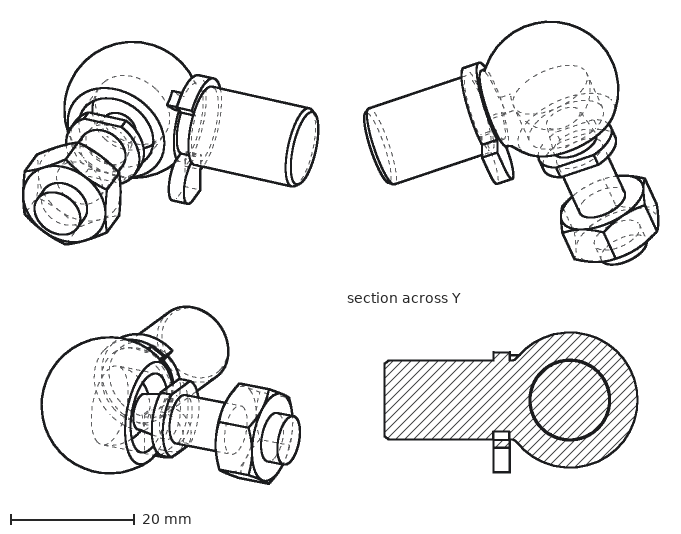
import cadquery as cq
import math


socket_radius = 11.05
socket_face_y = -7.15
ball_radius = 6.5
shank_radius = 6.5
shank_end_x = 30.0
shank_chamfer_length = 0.7
shank_chamfer_depth = 0.5
neck_fillet = 1.2

groove_start_x = 9.8
groove_end_x = 12.35
groove_radius = 5.2

clip_start_x = 9.7
clip_thickness = groove_end_x - clip_start_x
clip_radius = 7.84
clip_mouth_angle = 130.0
tail_end_radius = 3.9
tail_centre_y = -4.57
tail_centre_z = -7.8
tail_edge_y = -1.28
lug_angle = 119.3
lug_width = 2.66
lug_top = 7.57
lug_length = 1.77

neck_small_radius = 2.93
neck_large_radius = 3.75
collar_start_y = -10.95
collar_thickness = 2.0
collar_end_y = collar_start_y - collar_thickness
collar_radius = 6.4
collar_flats = 11.0
stud_radius = 4.0
stud_end_y = -32.99
stud_dome_height = 0.4

nut_flats = 14.36
nut_height = 6.65
nut_start_y = -22.97
nut_chamfer_angle = 30.0


def make_socket():
    """Sphere blended into the cylindrical shank, revolved about X."""
    fillet_centre_r = shank_radius + neck_fillet
    fillet_end_x = math.sqrt((socket_radius + neck_fillet) ** 2 - fillet_centre_r**2)
    tangency = socket_radius / (socket_radius + neck_fillet)
    fillet_start = (fillet_end_x * tangency, fillet_centre_r * tangency)
    fillet_mid_angle = math.radians(270) - math.atan2(fillet_end_x, fillet_centre_r) / 2
    fillet_mid = (
        fillet_end_x + neck_fillet * math.cos(fillet_mid_angle),
        fillet_centre_r + neck_fillet * math.sin(fillet_mid_angle),
    )
    profile = (
        cq.Workplane("XY")
        .moveTo(-socket_radius, 0)
        .threePointArc((0, socket_radius), fillet_start)
        .threePointArc(fillet_mid, (fillet_end_x, shank_radius))
        .lineTo(groove_start_x, shank_radius)
        .lineTo(groove_start_x, groove_radius)
        .lineTo(groove_end_x, groove_radius)
        .lineTo(groove_end_x, shank_radius)
        .lineTo(shank_end_x - shank_chamfer_length, shank_radius)
        .lineTo(shank_end_x, shank_radius - shank_chamfer_depth)
        .lineTo(shank_end_x, 0)
        .close()
    )
    socket = profile.revolve(360, (0, 0, 0), (1, 0, 0))
    mouth_plane = cq.Workplane("XZ", origin=(0, socket_face_y, 0))
    mouth_trim = mouth_plane.circle(socket_radius).extrude(socket_radius)
    return socket.cut(mouth_trim)


def make_ball_gap():
    """Clearance between the cylindrical mouth and the ball, which seats at its equator."""
    diagonal = ball_radius * math.sqrt(0.5)
    profile = (
        cq.Workplane("XY")
        .moveTo(ball_radius, 0)
        .threePointArc((diagonal, -diagonal), (0, -ball_radius))
        .lineTo(0, socket_face_y)
        .lineTo(ball_radius, socket_face_y)
        .close()
    )
    return profile.revolve(360, (0, 0, 0), (0, 1, 0))


def make_stud():
    """Tapered neck, plain rod with domed tip and collar with two flats."""
    neck_start_y = -math.sqrt(ball_radius**2 - neck_small_radius**2)
    dome_edge_y = stud_end_y + stud_dome_height
    dome_radius = (stud_radius**2 + stud_dome_height**2) / (2 * stud_dome_height)
    dome_mid_r = stud_radius / 2
    dome_mid_y = stud_end_y + dome_radius - math.sqrt(dome_radius**2 - dome_mid_r**2)
    rod = (
        cq.Workplane("XY")
        .lineTo(neck_small_radius, 0)
        .lineTo(neck_small_radius, neck_start_y)
        .lineTo(neck_large_radius, collar_start_y)
        .lineTo(stud_radius, collar_end_y)
        .lineTo(stud_radius, dome_edge_y)
        .threePointArc((dome_mid_r, dome_mid_y), (0, stud_end_y))
        .close()
        .revolve(360, (0, 0, 0), (0, 1, 0))
    )
    collar_plane = cq.Workplane("XZ", origin=(0, collar_start_y, 0))
    collar = collar_plane.circle(collar_radius).extrude(collar_thickness)
    flats = collar_plane.rect(2 * collar_radius, collar_flats).extrude(collar_thickness)
    return rod.union(collar.intersect(flats))


def make_nut():
    """Hexagon nut with corners across Z, chamfered at both faces."""
    corner_radius = nut_flats / math.sqrt(3)
    face_radius = nut_flats / 2
    chamfer_height = (corner_radius - face_radius) * math.tan(math.radians(nut_chamfer_angle))
    nut_end_y = nut_start_y - nut_height
    hexagon = (
        cq.Workplane("XZ", origin=(0, nut_start_y, 0))
        .transformed(rotate=(0, 0, 90))
        .polygon(6, 2 * corner_radius)
        .extrude(nut_height)
    )
    chamfer_envelope = (
        cq.Workplane("XY")
        .moveTo(0, nut_start_y)
        .lineTo(face_radius, nut_start_y)
        .lineTo(corner_radius, nut_start_y - chamfer_height)
        .lineTo(corner_radius, nut_end_y + chamfer_height)
        .lineTo(face_radius, nut_end_y)
        .lineTo(0, nut_end_y)
        .close()
        .revolve(360, (0, 0, 0), (0, 1, 0))
    )
    return hexagon.intersect(chamfer_envelope)


def around_shank(radius, angle):
    """Point (y, z) at an angle measured from +Y towards +Z."""
    radians = math.radians(angle)
    return (radius * math.cos(radians), radius * math.sin(radians))


def make_clip():
    """Open ring in the groove, with a round-ended tail below and a lug at the ring end."""
    clip_plane = cq.Workplane("YZ", origin=(clip_start_x, 0, 0))
    ring_end_angle = -math.degrees(math.acos(tail_edge_y / clip_radius))
    ring_mid_angle = (clip_mouth_angle + ring_end_angle) / 2
    ring = (
        clip_plane.lineTo(*around_shank(clip_radius, clip_mouth_angle))
        .threePointArc(around_shank(clip_radius, ring_mid_angle), around_shank(clip_radius, ring_end_angle))
        .close()
        .extrude(clip_thickness)
    )
    tail_bottom_z = tail_centre_z - tail_end_radius
    tail_top_z = tail_centre_z + tail_end_radius
    tail = (
        clip_plane.moveTo(tail_edge_y, tail_bottom_z)
        .lineTo(tail_centre_y, tail_bottom_z)
        .threePointArc((tail_centre_y - tail_end_radius, tail_centre_z), (tail_centre_y, tail_top_z))
        .lineTo(tail_edge_y, tail_top_z)
        .close()
        .extrude(clip_thickness)
    )
    lug_height = lug_top - groove_radius
    lug = (
        clip_plane.transformed(rotate=(0, 0, lug_angle))
        .center(lug_top - lug_height / 2, 0)
        .rect(lug_height, lug_width)
        .extrude(-lug_length)
    )
    return ring.union(tail).union(lug)


socket = make_socket().cut(make_ball_gap())
result = socket.union(make_stud()).union(make_nut()).union(make_clip())